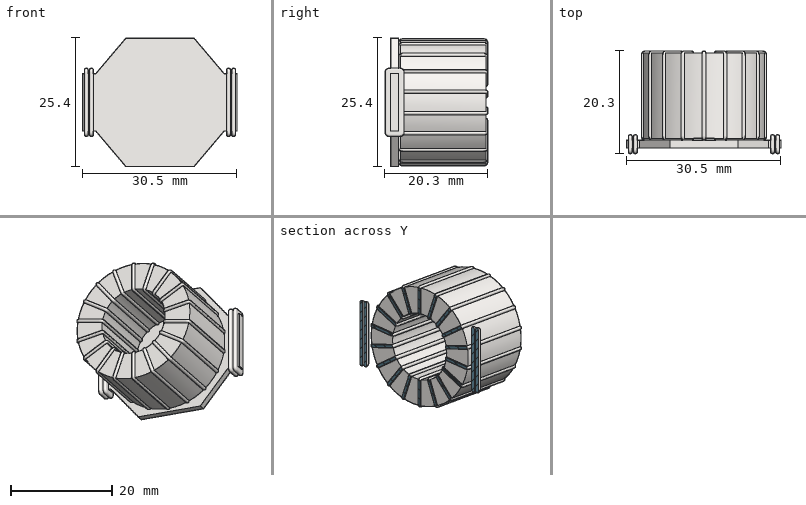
import cadquery as cq

OVERALL_WIDTH = 30.5
PLATE_SIZE = 25.4
PLATE_THICKNESS = 1.6
TOP_EDGE_WIDTH = 13.45
TAB_HEIGHT = 11.32

LOOP_WIRE_RADIUS = 0.4
LOOP_MARGIN = 1.1
LOOP_PITCH = 1.0
OUTER_LOOP_X = 14.55
LOOPS_PER_TAB = 2

CORE_RADIUS = 12.2
BORE_RADIUS = 6.8
CORE_LENGTH = 16.9
TURN_WIRE_RADIUS = 0.37
TURN_COUNT = 18

BEND_RADIUS = 0.43


def wire_ring(plane, width, height, wire_radius):
    """Round wire bent into a closed rounded rectangle in the given plane."""
    straight_x = width / 2 - BEND_RADIUS
    straight_y = height / 2 - BEND_RADIUS
    path = (
        cq.Workplane(plane)
        .moveTo(0, height / 2)
        .lineTo(straight_x, height / 2)
        .radiusArc((width / 2, straight_y), BEND_RADIUS)
        .lineTo(width / 2, -straight_y)
        .radiusArc((straight_x, -height / 2), BEND_RADIUS)
        .lineTo(-straight_x, -height / 2)
        .radiusArc((-width / 2, -straight_y), BEND_RADIUS)
        .lineTo(-width / 2, straight_y)
        .radiusArc((-straight_x, height / 2), BEND_RADIUS)
        .close()
    )
    start = plane.toWorldCoords((0, height / 2))
    section = cq.Plane(origin=start, xDir=plane.zDir, normal=plane.xDir)
    return cq.Workplane(section).circle(wire_radius).sweep(path)


def make_plate():
    half_plate = PLATE_SIZE / 2
    half_top = TOP_EDGE_WIDTH / 2
    half_tab = TAB_HEIGHT / 2
    octagon = [
        (half_top, half_plate),
        (half_plate, half_tab),
        (half_plate, -half_tab),
        (half_top, -half_plate),
        (-half_top, -half_plate),
        (-half_plate, -half_tab),
        (-half_plate, half_tab),
        (-half_top, half_plate),
    ]
    body = cq.Workplane("XZ").polyline(octagon).close().extrude(PLATE_THICKNESS)
    tabs = cq.Workplane("XZ").rect(OVERALL_WIDTH, TAB_HEIGHT).extrude(PLATE_THICKNESS)
    return body.union(tabs)


def make_loop(x):
    """Wire loop around a tab at the given X, its inside filled flush with the wire."""
    depth = PLATE_THICKNESS + 2 * (LOOP_MARGIN - LOOP_WIRE_RADIUS)
    height = TAB_HEIGHT + 2 * (LOOP_MARGIN - LOOP_WIRE_RADIUS)
    plane = cq.Plane(origin=(x, -PLATE_THICKNESS / 2, 0), xDir=(0, 1, 0), normal=(1, 0, 0))
    rim = wire_ring(plane, depth, height, LOOP_WIRE_RADIUS)
    filling = (
        cq.Workplane(plane)
        .rect(depth, height)
        .extrude(LOOP_WIRE_RADIUS, both=True)
        .edges("|X")
        .fillet(BEND_RADIUS)
    )
    return filling.union(rim)


def make_base():
    base = make_plate()
    for side in (-1, 1):
        for index in range(LOOPS_PER_TAB):
            base = base.union(make_loop(side * (OUTER_LOOP_X - index * LOOP_PITCH)))
    return base


def make_toroid():
    core_front = TURN_WIRE_RADIUS
    toroid = (
        cq.Workplane("XZ", origin=(0, core_front, 0))
        .circle(CORE_RADIUS)
        .circle(BORE_RADIUS)
        .extrude(-CORE_LENGTH)
    )
    turn_plane = cq.Plane(
        origin=(0, core_front + CORE_LENGTH / 2, (CORE_RADIUS + BORE_RADIUS) / 2),
        xDir=(0, 1, 0),
        normal=(1, 0, 0),
    )
    turn = wire_ring(turn_plane, CORE_LENGTH, CORE_RADIUS - BORE_RADIUS, TURN_WIRE_RADIUS)
    for index in range(TURN_COUNT):
        angle = index * 360 / TURN_COUNT
        toroid = toroid.union(turn.rotate((0, 0, 0), (0, 1, 0), angle))
    return toroid


base = make_base()
toroid = make_toroid()

result = cq.Compound.makeCompound([base.solids().val(), toroid.solids().val()])